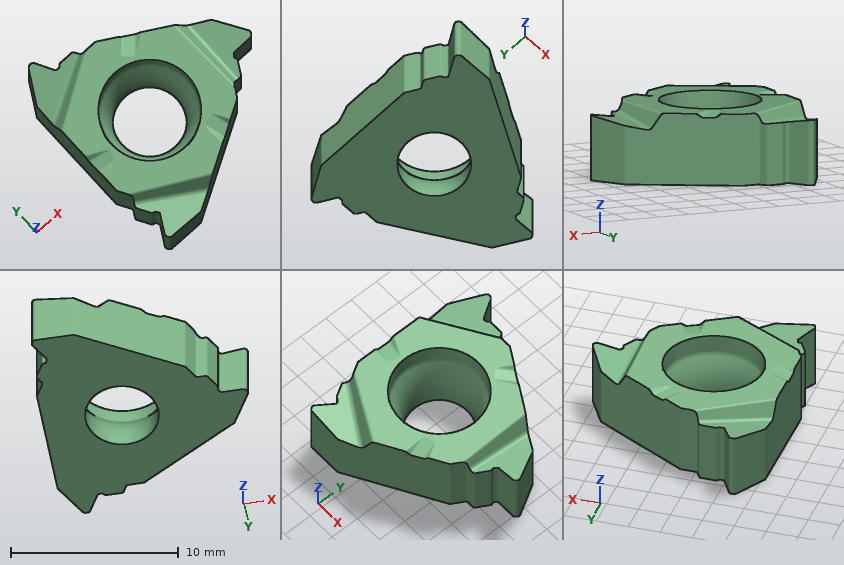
import cadquery as cq
import math

THICKNESS = 4.35
TEETH = 3
EDGE_DISTANCE = 4.75

FLANK_ANGLE = 60
TIP_X = -3.35
TIP_Y = 6.91
TIP_WIDTH = 0.34
TIP_RADIUS = 0.24
RELIEF_Y = 5.64
RELIEF_END_X = -2.17
CREST_Y = 5.8
CREST_END_X = -0.95
LAND_Y = 5.26
SIDE_CORNER_RADIUS = 0.23
STEP_RADIUS = 0.2
LAND_CORNER_RADIUS = 0.16
RELIEF_RADIUS = 0.11

RAKE_X = 5.4
RAKE_DEPTH = 0.8
RAKE_ANGLE = 9
GROOVE_TILT = 5
GROOVE_TURN = 1
WALL_ANGLE = 60
GROOVE_RADIUS = 0.32
GROOVE_EDGE_RADIUS = 0.2
BLANK_RADIUS = 8.05

BORE_DIAMETER = 4.4
BORE_RADIUS = BORE_DIAMETER / 2
MOUTH_RADIUS = 3.07
WALL_END_RADIUS = 2.99
WALL_DEPTH = 1.18
SEAT_ARC_RADIUS = 3.97
SEAT_FILLET = 0.47

NOTCH_INNER_X = -3.46
NOTCH_INNER_Y = -0.55
NOTCH_TURN = -13
NOTCH_TILT = 10
NOTCH_FLOOR_WIDTH = 0.83
NOTCH_WALL_ANGLE = 38
NOTCH_RADIUS = 0.27
NOTCH_LIP_RADIUS = 0.13
NOTCH_HEIGHT = 0.67
NOTCH_LENGTH = 2.01


def turned(solid, index):
    return solid.rotate((0, 0, 0), (0, 0, 1), index * 360 / TEETH)


def turned_point(point, index):
    angle = math.radians(index * 360 / TEETH)
    x, y = point
    return (x * math.cos(angle) - y * math.sin(angle), x * math.sin(angle) + y * math.cos(angle))


def outline_prism():
    flank_slope = math.tan(math.radians(FLANK_ANGLE))
    half_turn = math.radians(180 / TEETH)
    tip_start = (TIP_X - TIP_WIDTH / 2, TIP_Y)
    tip_end = (TIP_X + TIP_WIDTH / 2, TIP_Y)
    side_corner = (-EDGE_DISTANCE, TIP_Y - flank_slope * (tip_start[0] + EDGE_DISTANCE))
    relief_start = (tip_end[0] + (TIP_Y - RELIEF_Y) / flank_slope, RELIEF_Y)
    relief_end = (RELIEF_END_X, RELIEF_Y)
    crest_start = (RELIEF_END_X + CREST_Y - RELIEF_Y, CREST_Y)
    crest_end = (CREST_END_X, CREST_Y)
    land_start = (CREST_END_X + (CREST_Y - LAND_Y) / flank_slope, LAND_Y)
    land_end = ((EDGE_DISTANCE - LAND_Y * math.sin(half_turn)) / math.cos(half_turn), LAND_Y)
    corners = [
        (side_corner, SIDE_CORNER_RADIUS),
        (tip_start, TIP_RADIUS),
        (tip_end, TIP_RADIUS),
        (relief_start, RELIEF_RADIUS),
        (relief_end, RELIEF_RADIUS),
        (crest_start, RELIEF_RADIUS),
        (crest_end, STEP_RADIUS),
        (land_start, STEP_RADIUS),
        (land_end, LAND_CORNER_RADIUS),
    ]
    points = []
    for index in range(TEETH):
        points += [turned_point(point, -index) for point, _ in corners]
    prism = cq.Workplane("XY").polyline(points).close().extrude(THICKNESS)
    for point, radius in corners:
        for index in range(TEETH):
            x, y = turned_point(point, index)
            prism = prism.edges(cq.NearestToPointSelector((x, y, THICKNESS / 2))).fillet(radius)
    return prism


def chip_groove():
    wall = math.radians(WALL_ANGLE)
    rake = math.radians(RAKE_ANGLE)
    setback = GROOVE_RADIUS * math.tan((wall + rake) / 2)
    reach = BLANK_RADIUS
    root = (-setback * math.cos(rake), -setback * math.sin(rake))
    top = root[1] + reach
    profile = [
        root,
        (root[0] + reach, root[1] + reach * math.tan(rake)),
        (root[0] + reach, top),
        (root[0] - reach / math.tan(wall), top),
    ]
    groove = cq.Workplane("XZ").polyline(profile).close().extrude(2 * BLANK_RADIUS, both=True)
    groove = groove.edges(cq.NearestToPointSelector((root[0], 0, root[1]))).fillet(GROOVE_RADIUS)
    groove = groove.rotate((0, 0, 0), (1, 0, 0), -GROOVE_TILT)
    groove = groove.rotate((0, 0, 0), (0, 0, 1), -GROOVE_TURN)
    return groove.translate((RAKE_X, 0, THICKNESS - RAKE_DEPTH))


def grooved_blank():
    blank = cq.Workplane("XY").circle(BLANK_RADIUS).extrude(THICKNESS)
    groove = chip_groove()
    for index in range(TEETH):
        blank = blank.cut(turned(groove, index))
    return blank.faces(">Z").edges("%LINE").fillet(GROOVE_EDGE_RADIUS)


def screw_hole():
    seat_drop = WALL_END_RADIUS - BORE_RADIUS
    seat_end_depth = WALL_DEPTH + math.sqrt(SEAT_ARC_RADIUS**2 - (SEAT_ARC_RADIUS - seat_drop) ** 2)
    hole = (
        cq.Workplane("XZ")
        .moveTo(0, 0)
        .lineTo(BORE_RADIUS, 0)
        .lineTo(BORE_RADIUS, THICKNESS - seat_end_depth)
        .tangentArcPoint((WALL_END_RADIUS, THICKNESS - WALL_DEPTH), relative=False)
        .lineTo(MOUTH_RADIUS, THICKNESS)
        .lineTo(0, THICKNESS)
        .close()
        .revolve(360, (0, 0, 0), (0, 1, 0))
    )
    seat_edge = cq.NearestToPointSelector((0, 0, THICKNESS - WALL_DEPTH))
    return hole.edges(seat_edge).fillet(SEAT_FILLET)


def notch():
    half_floor = NOTCH_FLOOR_WIDTH / 2
    half_top = half_floor + NOTCH_HEIGHT / math.tan(math.radians(NOTCH_WALL_ANGLE))
    profile = [
        (-half_floor, 0),
        (half_floor, 0),
        (half_top, NOTCH_HEIGHT),
        (-half_top, NOTCH_HEIGHT),
    ]
    cutter = cq.Workplane("YZ").polyline(profile).close().extrude(NOTCH_LENGTH, both=True)
    cutter = cutter.edges("|X and <Z").fillet(NOTCH_RADIUS)
    cutter = cutter.rotate((0, 0, 0), (0, 1, 0), -NOTCH_TILT)
    cutter = cutter.rotate((0, 0, 0), (0, 0, 1), NOTCH_TURN)
    return cutter.translate((NOTCH_INNER_X, NOTCH_INNER_Y, THICKNESS))


result = outline_prism().intersect(grooved_blank()).cut(screw_hole())
for index in range(TEETH):
    result = result.cut(turned(notch(), index))

result = result.faces(">Z").edges("%ELLIPSE").fillet(NOTCH_LIP_RADIUS)